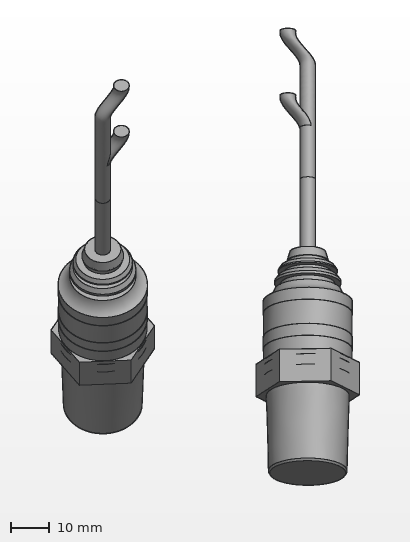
import cadquery as cq
import math

plug_tip_diameter = 19.5
plug_bottom_diameter = 20.3
plug_top_diameter = 21.3
plug_chamfer_height = 0.6
plug_taper_top = 20.0

sleeve_diameter = 22.8
sleeve_band_diameter = 23.0
sleeve_band_height = 3.2
sleeve_band_bottoms = (33.5, 43.3)
sleeve_top = sleeve_band_bottoms[-1] + sleeve_band_height
sleeve_foot_bottom = 25.6
sleeve_foot_height = 2.9

hex_bottom = 21.0
hex_height = 8.8
hex_wall = 0.03
hex_across_flats = sleeve_band_diameter + 2 * hex_wall

boot_flare_height = 3.2
boot_flare_top_diameter = 17.0
boot_flare_bulge = 0.5
lower_neck_top = 51.4
lower_neck_diameter = 14.0
lower_flange_rim_top = 52.1
lower_flange_diameter = 17.0
lower_flange_top_diameter = 15.3
lower_flange_top = 53.3
middle_neck_diameter = 12.0
middle_neck_top = 54.6
middle_flange_rim_top = 55.0
middle_flange_diameter = 15.3
middle_flange_top_diameter = 13.8
middle_flange_top = 56.0
upper_neck_diameter = 10.0
upper_neck_top = 57.5
boot_tip_base_diameter = 10.7
boot_tip_diameter = 9.3
boot_top = 60.0

cable_diameter = 4.0
cable_top = 79.8
total_height = 119.2
wire_height = 21.9
wire_offset = 5.7
bend_start_height = 13.5
bend_end_height = 21.2
loft_steps = 36
long_wire_loft_base = total_height - wire_height


def make_plug():
    """Tapered plug with a chamfered tip, and a short straight neck under the hex."""
    outline = [
        (0, 0),
        (plug_tip_diameter / 2, 0),
        (plug_bottom_diameter / 2, plug_chamfer_height),
        (plug_top_diameter / 2, plug_taper_top),
        (plug_top_diameter / 2, hex_bottom),
        (0, hex_bottom),
    ]
    return cq.Workplane("XZ").polyline(outline).close().revolve(360, (0, 0), (0, 1))


def make_disc(diameter, bottom, height):
    """Upright cylinder on the axis."""
    return cq.Workplane("XY", origin=(0, 0, bottom)).circle(diameter / 2).extrude(height)


def make_sleeve():
    """Cylinder with slightly raised bands and a raised foot that sits inside the hex."""
    sleeve = make_disc(sleeve_diameter, sleeve_foot_bottom, sleeve_top - sleeve_foot_bottom)
    for band_bottom in sleeve_band_bottoms:
        sleeve = sleeve.union(make_disc(sleeve_band_diameter, band_bottom, sleeve_band_height))
    return sleeve.union(make_disc(sleeve_band_diameter, sleeve_foot_bottom, sleeve_foot_height))


def make_hex(insert):
    """Hexagon with a recess that matches the insert."""
    across_corners = hex_across_flats / math.cos(math.pi / 6)
    hexagon = cq.Workplane("XY", origin=(0, 0, hex_bottom)).polygon(6, across_corners).extrude(hex_height)
    return hexagon.cut(insert)


def make_boot():
    """Concave flare topped by shrinking necks and flanges."""
    flare_top = sleeve_top + boot_flare_height
    return (
        cq.Workplane("XZ")
        .moveTo(0, sleeve_top)
        .lineTo(sleeve_band_diameter / 2, sleeve_top)
        .sagittaArc((boot_flare_top_diameter / 2, flare_top), boot_flare_bulge)
        .lineTo(lower_neck_diameter / 2, flare_top)
        .lineTo(lower_neck_diameter / 2, lower_neck_top)
        .lineTo(lower_flange_diameter / 2, lower_neck_top)
        .lineTo(lower_flange_diameter / 2, lower_flange_rim_top)
        .lineTo(lower_flange_top_diameter / 2, lower_flange_top)
        .lineTo(middle_neck_diameter / 2, lower_flange_top)
        .lineTo(middle_neck_diameter / 2, middle_neck_top)
        .lineTo(middle_flange_diameter / 2, middle_neck_top)
        .lineTo(middle_flange_diameter / 2, middle_flange_rim_top)
        .lineTo(middle_flange_top_diameter / 2, middle_flange_top)
        .lineTo(upper_neck_diameter / 2, middle_flange_top)
        .lineTo(upper_neck_diameter / 2, upper_neck_top)
        .lineTo(boot_tip_base_diameter / 2, upper_neck_top)
        .lineTo(boot_tip_diameter / 2, boot_top)
        .lineTo(0, boot_top)
        .close()
        .revolve(360, (0, 0), (0, 1))
    )


def wire_shift(height):
    """Sideways shift of the wire at a height above its base: an S-shaped ease up to the full offset."""
    progress = (height - bend_start_height) / (bend_end_height - bend_start_height)
    progress = min(max(progress, 0), 1)
    return wire_offset * progress**2 * (3 - 2 * progress)


def make_bent_wire(base, heights):
    """Loft of level circles at heights above the base, shifted toward +Y through the bend."""
    sections = [
        cq.Wire.makeCircle(
            cable_diameter / 2,
            cq.Vector(0, wire_shift(height), base + height),
            cq.Vector(0, 0, 1),
        )
        for height in heights
    ]
    return cq.Workplane(cq.Solid.makeLoft(sections))


loft_heights = [wire_height * step / loft_steps for step in range(loft_steps + 1)]
branch_heights = [height for height in loft_heights if wire_shift(height) > 0]

plug = make_plug()
sleeve = make_sleeve()
hex_nut = make_hex(sleeve)
boot = make_boot()
cable = make_disc(cable_diameter, boot_top, cable_top - boot_top)
long_wire_stem = make_disc(cable_diameter, cable_top, long_wire_loft_base - cable_top)
long_wire = long_wire_stem.union(make_bent_wire(long_wire_loft_base, loft_heights), clean=False)
short_wire = make_bent_wire(cable_top, branch_heights).cut(long_wire)

result = cq.Compound.makeCompound(
    [
        plug.val(),
        hex_nut.val(),
        sleeve.val(),
        boot.val(),
        cable.val(),
        long_wire.val(),
        short_wire.val(),
    ]
)